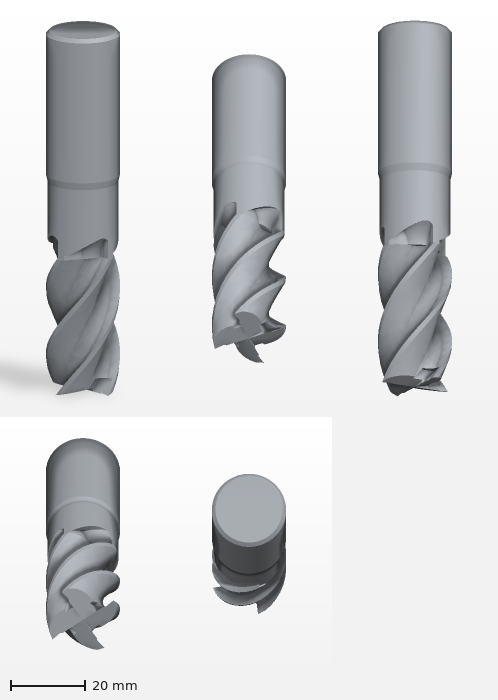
import cadquery as cq
import math

TOTAL_LENGTH = 100.0
CUT_LENGTH = 38.0
CUT_RADIUS = 10.0
SHANK_RADIUS = 10.0
SHANK_CHAMFER = 1.0
NECK_RADIUS = 9.5
NECK_TOP = 58.0
TAPER_TOP = 60.0

FLUTE_COUNT = 4
FLUTE_STEP = 360.0 / FLUTE_COUNT
HELIX_ANGLE = 40.0
LEAD = 2 * math.pi * CUT_RADIUS / math.tan(math.radians(HELIX_ANGLE))
TWIST = 360.0 * CUT_LENGTH / LEAD

LAND_ANGLE = 9.5
LAND_RADIUS = 9.8
BACK_MIDDLE = (3.9, -6.8)
FLUTE_START = (4.6, -3.2)
FLUTE_MIDDLE = (5.6, -0.9)
RAKE_START = (7.2, 0.3)

END_RELIEF_ANGLE = 14.5
GASH_HEIGHT = 3.9
GASH_WIDTH = 3.0
GASH_LEAN = 3.4
GASH_CREST_Y = -0.4
GASH_SHOULDER = (-2.5, 1.3)
GASH_INNER = 4.0
GASH_OUTER = 8.4

RUNOUT_HEIGHT = 6.0
RUNOUT_TOP = CUT_LENGTH + RUNOUT_HEIGHT
ROOF_START = (-10.0, CUT_LENGTH)
ROOF_MIDDLE = (-6.8, 41.7)
ROOF_CREST_Y = -2.5
ROOF_ROUND_START_Y = -1.5
ROOF_ROUND_MIDDLE = (-0.2, 43.2)
ROOF_END = (0.5, 41.0)
RUNOUT_FLOOR_RADIUS = 6.6
RUNOUT_BEND = (7.5, 41.8)

CLEARANCE = 2.0


def turned(point, angle):
    """Rotate a section point about the tool axis."""
    a = math.radians(angle)
    x, y = point
    return (x * math.cos(a) - y * math.sin(a), x * math.sin(a) + y * math.cos(a))


def around_axis(shape, angle):
    return shape.rotate((0, 0, 0), (0, 0, 1), angle)


LAND_END = turned((0, -LAND_RADIUS), LAND_ANGLE)


def tooth_section():
    """Closed section of all the teeth, on the XY plane."""
    section = cq.Workplane("XY").moveTo(0, -CUT_RADIUS)
    for i in range(FLUTE_COUNT):
        angle = i * FLUTE_STEP
        section = (
            section.lineTo(*turned(LAND_END, angle))
            .threePointArc(turned(BACK_MIDDLE, angle), turned(FLUTE_START, angle))
            .threePointArc(turned(FLUTE_MIDDLE, angle), turned(RAKE_START, angle))
            .lineTo(*turned((CUT_RADIUS, 0), angle))
        )
    return section.close()


def end_relief():
    """Wedge below one tooth end, rising in +X from its cutting edge on -Y."""
    reach = CUT_RADIUS + CLEARANCE
    rise = reach * math.tan(math.radians(END_RELIEF_ANGLE))
    return cq.Workplane("XZ").polyline([(0, 0), (reach, 0), (reach, rise)]).close().extrude(reach)


def gash():
    """Cut ahead of the cutting edge on +X, with a leaning wall that rises from that edge."""
    return (
        cq.Workplane("YZ", origin=(GASH_INNER, 0, 0))
        .polyline([
            (0, 0),
            (GASH_LEAN, GASH_HEIGHT),
            (GASH_CREST_Y, GASH_HEIGHT),
            GASH_SHOULDER,
            (-GASH_WIDTH, 0),
        ])
        .close()
        .extrude(GASH_OUTER - GASH_INNER)
    )


def make_cutter():
    body = tooth_section().twistExtrude(CUT_LENGTH, TWIST)
    for i in range(FLUTE_COUNT):
        body = body.cut(around_axis(end_relief(), i * FLUTE_STEP))
        body = body.cut(around_axis(gash(), i * FLUTE_STEP))
    return body


def runout():
    """One flute space above the cutter, under a rounded sloping roof and outside a flared core."""
    outer = CUT_RADIUS + CLEARANCE
    flute = (
        cq.Workplane("XY", origin=(0, 0, CUT_LENGTH))
        .moveTo(*LAND_END)
        .threePointArc(BACK_MIDDLE, FLUTE_START)
        .threePointArc(FLUTE_MIDDLE, RAKE_START)
        .lineTo(CUT_RADIUS, 0)
        .lineTo(outer, 0)
        .lineTo(outer, -outer)
        .lineTo(LAND_END[0], -outer)
        .close()
        .extrude(RUNOUT_HEIGHT)
    )
    roof = (
        cq.Workplane("YZ")
        .moveTo(*ROOF_START)
        .threePointArc(ROOF_MIDDLE, (ROOF_CREST_Y, RUNOUT_TOP))
        .lineTo(ROOF_ROUND_START_Y, RUNOUT_TOP)
        .threePointArc(ROOF_ROUND_MIDDLE, ROOF_END)
        .lineTo(ROOF_END[0], CUT_LENGTH)
        .close()
        .extrude(outer)
    )
    core = (
        cq.Workplane("XZ")
        .moveTo(0, CUT_LENGTH)
        .lineTo(RUNOUT_FLOOR_RADIUS, CUT_LENGTH)
        .threePointArc(RUNOUT_BEND, (NECK_RADIUS, RUNOUT_TOP))
        .lineTo(0, RUNOUT_TOP)
        .close()
        .revolve(360, (0, 0, 0), (0, 1, 0))
    )
    return flute.intersect(roof).cut(core)


def make_shank():
    body = (
        cq.Workplane("XZ")
        .polyline([
            (0, CUT_LENGTH),
            (NECK_RADIUS, CUT_LENGTH),
            (NECK_RADIUS, NECK_TOP),
            (SHANK_RADIUS, TAPER_TOP),
            (SHANK_RADIUS, TOTAL_LENGTH - SHANK_CHAMFER),
            (SHANK_RADIUS - SHANK_CHAMFER, TOTAL_LENGTH),
            (0, TOTAL_LENGTH),
        ])
        .close()
        .revolve(360, (0, 0, 0), (0, 1, 0))
    )
    for i in range(FLUTE_COUNT):
        body = body.cut(around_axis(runout(), TWIST + i * FLUTE_STEP))
    return body


cutter = make_cutter()
shank = make_shank()
result = cq.Compound.makeCompound([cutter.val(), shank.val()])